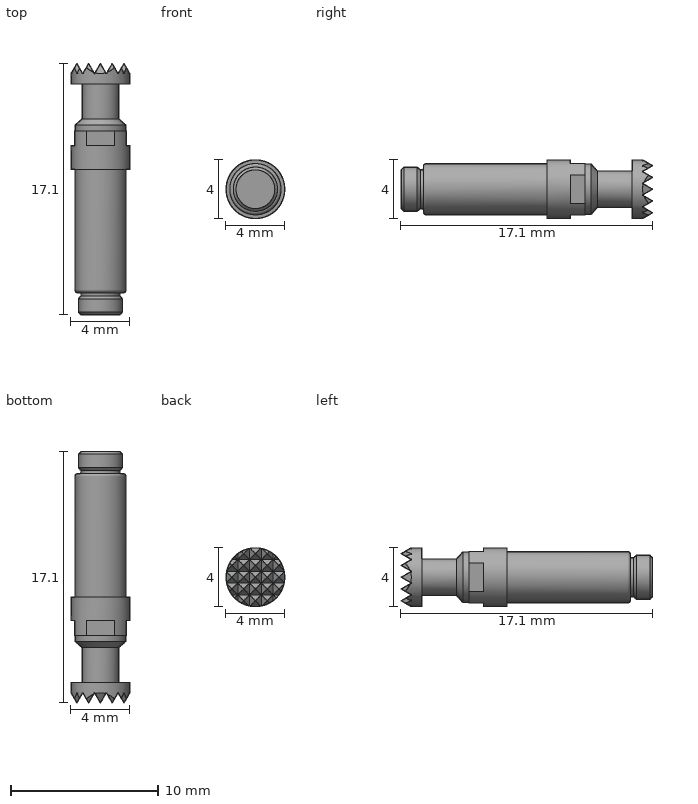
import cadquery as cq
import math

LENGTH = 17.1

COLLAR_RADIUS = 2.0
BODY_RADIUS = 1.75
SHOULDER_RADIUS = 1.73
NECK_RADIUS = 1.25
TIP_RADIUS = 1.5
GROOVE_RADIUS = 1.33

TIP_CHAMFER = 0.19
TIP_LENGTH = 1.1
GROOVE_TAPER = 0.2
GROOVE_LENGTH = 0.41
GROOVE_FILLET = 0.05
BODY_START = TIP_LENGTH + GROOVE_LENGTH
BODY_FILLET = 0.2
COLLAR_START = 9.9
COLLAR_LENGTH = 2.6
COLLAR_END = COLLAR_START + COLLAR_LENGTH
FLAT_LENGTH = 1.0
SHOULDER_LENGTH = 0.41
SHOULDER_END = COLLAR_END + SHOULDER_LENGTH
SHOULDER_TAPER = 0.43
CROWN_HEIGHT = 1.4
CROWN_START = LENGTH - CROWN_HEIGHT

FLAT_WIDTH = 1.92
FLAT_DISTANCE = math.sqrt(COLLAR_RADIUS**2 - (FLAT_WIDTH / 2) ** 2)

TEETH_ACROSS = 5
TOOTH_PITCH = 2 * COLLAR_RADIUS / TEETH_ACROSS
TOOTH_ANGLE = 60.0
TOOTH_DEPTH = TOOTH_PITCH / 2 / math.tan(math.radians(TOOTH_ANGLE / 2))


def turned_pin():
    """Revolve the half profile (radius, Y) about the Y axis."""
    return (
        cq.Workplane("XY")
        .moveTo(0, 0)
        .lineTo(TIP_RADIUS - TIP_CHAMFER, 0)
        .lineTo(TIP_RADIUS, TIP_CHAMFER)
        .lineTo(TIP_RADIUS, TIP_LENGTH)
        .lineTo(GROOVE_RADIUS, TIP_LENGTH + GROOVE_TAPER)
        .lineTo(GROOVE_RADIUS, BODY_START - GROOVE_FILLET)
        .radiusArc((GROOVE_RADIUS + GROOVE_FILLET, BODY_START), GROOVE_FILLET)
        .lineTo(BODY_RADIUS - BODY_FILLET, BODY_START)
        .radiusArc((BODY_RADIUS, BODY_START + BODY_FILLET), -BODY_FILLET)
        .lineTo(BODY_RADIUS, COLLAR_START)
        .lineTo(COLLAR_RADIUS, COLLAR_START)
        .lineTo(COLLAR_RADIUS, COLLAR_END)
        .lineTo(SHOULDER_RADIUS, COLLAR_END)
        .lineTo(SHOULDER_RADIUS, SHOULDER_END)
        .lineTo(NECK_RADIUS, SHOULDER_END + SHOULDER_TAPER)
        .lineTo(NECK_RADIUS, CROWN_START)
        .lineTo(COLLAR_RADIUS, CROWN_START)
        .lineTo(COLLAR_RADIUS, LENGTH)
        .lineTo(0, LENGTH)
        .close()
        .revolve(360, (0, 0, 0), (0, 1, 0))
    )


def quarter_turns(solid, count):
    """Copies of a solid at successive quarter turns about the pin axis."""
    return [solid.rotate((0, 0, 0), (0, 1, 0), 90 * turn) for turn in range(count)]


def flat_cutter():
    """Block that removes the collar beyond one flat."""
    block = cq.Workplane("XY").box(
        2 * COLLAR_RADIUS, FLAT_LENGTH, COLLAR_RADIUS, centered=(True, False, False)
    )
    return block.translate((0, COLLAR_END - FLAT_LENGTH, FLAT_DISTANCE))


def tooth_groove_cutter():
    """Comb running along Z that cuts a V on each side of every row of teeth."""
    tip_x = [(index - TEETH_ACROSS / 2 + 0.5) * TOOTH_PITCH for index in range(TEETH_ACROSS)]
    valley_y = LENGTH - TOOTH_DEPTH
    outer_x = COLLAR_RADIUS + TOOTH_PITCH / 2
    outline = cq.Workplane("XY").moveTo(-outer_x, LENGTH).lineTo(-COLLAR_RADIUS, valley_y)
    for x in tip_x:
        outline = outline.lineTo(x, LENGTH).lineTo(x + TOOTH_PITCH / 2, valley_y)
    above = LENGTH + TOOTH_DEPTH
    outline = outline.lineTo(outer_x, LENGTH).lineTo(outer_x, above).lineTo(-outer_x, above).close()
    return outline.extrude(outer_x, both=True)


result = turned_pin()
for flat in quarter_turns(flat_cutter(), 4):
    result = result.cut(flat)
for grooves in quarter_turns(tooth_groove_cutter(), 2):
    result = result.cut(grooves)